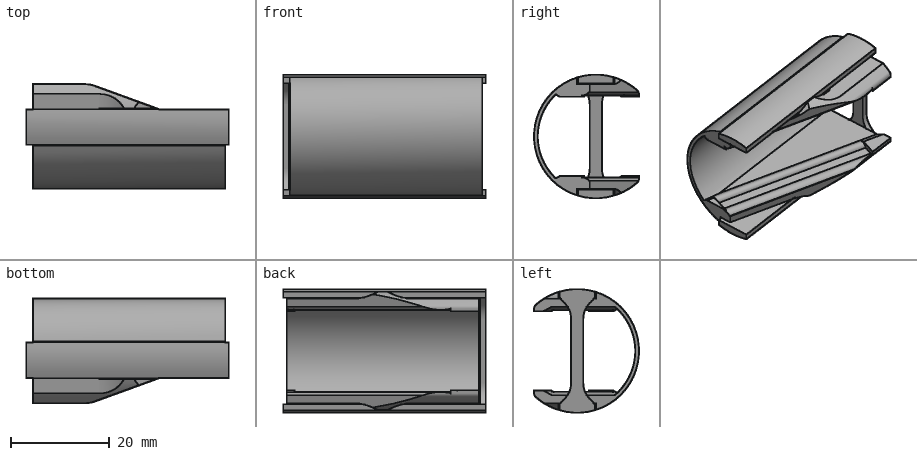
import cadquery as cq
import math

LENGTH = 41.05
OUTER_DIAMETER = 25.1
OUTER_RADIUS = OUTER_DIAMETER / 2

RAIL_HALF_WIDTH = 3.6
RAIL_BOTTOM = 10.75
WEB_HALF_WIDTH = 1.27
WEB_ROUND = 4.4
PLATE_THICKNESS = 1.25

BARREL_START = 1.4
BARREL_END = 40.3
BORE_RADIUS = 11.75
BORE_FLAT = 9.0
CHANNEL_HALF_WIDTH = 3.8
CHANNEL_FLOOR = 10.6
RAMP_RADIUS = 10.0
RAMP_START = 14.78

TIP_Y = 8.75
TIP_ROUND = 1.0
SLANT_ANGLE = 20.0
SLANT_START = 12.9
SLANT_ROUND = 6.15
LIP_HEIGHT = 8.0

BEVEL_ANGLE = 30.0
BEVEL_START = -7.4
INNER_RIDGE_CREST = -5.8
INNER_RIDGE_ROUND = 1.0
TIP_RIDGE_START = -2.75
TIP_RIDGE_CREST = -1.27
TIP_RIDGE_ROUND = 1.3
POCKET_START = -5.4
POCKET_END = 29.55

REACH = 3 * LENGTH

BARREL_LENGTH = BARREL_END - BARREL_START
BARREL_MIDDLE = (BARREL_START + BARREL_END) / 2
BEVEL_SLOPE = math.tan(math.radians(BEVEL_ANGLE))


def x_cylinder(radius, start, length):
    return cq.Workplane("YZ", origin=(start, 0, 0)).circle(radius).extrude(length)


def box_between(low, high):
    sizes = [b - a for a, b in zip(low, high)]
    return cq.Workplane("XY").box(*sizes, centered=False).translate(low)


def with_mirror(shape):
    """The shape and its mirror image below Z = 0."""
    return shape.union(shape.mirror("XY"))


def rail():
    blank = box_between((0, -RAIL_HALF_WIDTH, RAIL_BOTTOM), (LENGTH, RAIL_HALF_WIDTH, OUTER_RADIUS))
    return blank.intersect(x_cylinder(OUTER_RADIUS, 0, LENGTH))


def end_plate():
    """Web that flares at 45 degrees to the width of the rails."""
    diagonal = math.sqrt(0.5)
    flare_foot_y = WEB_HALF_WIDTH + WEB_ROUND * (1 - diagonal)
    flare_foot_z = RAIL_BOTTOM - (RAIL_HALF_WIDTH - flare_foot_y)
    round_start_z = flare_foot_z - WEB_ROUND * diagonal
    half_turn = math.radians(45 / 2)
    round_middle = (
        WEB_HALF_WIDTH + WEB_ROUND * (1 - math.cos(half_turn)),
        round_start_z + WEB_ROUND * math.sin(half_turn),
    )
    quarter = (
        cq.Workplane("YZ")
        .lineTo(WEB_HALF_WIDTH, 0)
        .lineTo(WEB_HALF_WIDTH, round_start_z)
        .threePointArc(round_middle, (flare_foot_y, flare_foot_z))
        .lineTo(RAIL_HALF_WIDTH, RAIL_BOTTOM)
        .lineTo(0, RAIL_BOTTOM)
        .close()
        .extrude(PLATE_THICKNESS)
    )
    return with_mirror(quarter.union(quarter.mirror("XZ")))


def make_key():
    return end_plate().union(with_mirror(rail())).clean()


def barrel_blank():
    """Round bar with a flat, round-edged lip on +Y and the slanted edge cut off in plan."""
    bar = x_cylinder(OUTER_RADIUS, BARREL_START, BARREL_LENGTH)
    bar = bar.cut(box_between((0, TIP_Y, -REACH), (LENGTH, REACH, REACH)))
    bar = bar.edges("|X and >Y").fillet(TIP_ROUND)
    slant_drop = (BARREL_END - SLANT_START) * math.tan(math.radians(SLANT_ANGLE))
    plan = (
        cq.Workplane("XY")
        .moveTo(BARREL_START, -OUTER_RADIUS)
        .lineTo(BARREL_START, TIP_Y)
        .lineTo(SLANT_START, TIP_Y)
        .lineTo(BARREL_END, TIP_Y - slant_drop)
        .lineTo(BARREL_END, -OUTER_RADIUS)
        .close()
        .extrude(OUTER_RADIUS, both=True)
    )
    corner = cq.selectors.NearestToPointSelector((SLANT_START, TIP_Y, 0))
    return bar.intersect(plan.edges("|Z").edges(corner).fillet(SLANT_ROUND))


def slanted_plane(distance):
    """Plane square to the slanted edge: local X points out of the mouth, local Y up."""
    angle = math.radians(SLANT_ANGLE)
    along = cq.Vector(math.cos(angle), -math.sin(angle), 0)
    outwards = cq.Vector(math.sin(angle), math.cos(angle), 0)
    origin = cq.Vector(SLANT_START, TIP_Y, 0) + along * distance
    return cq.Plane(origin=origin, xDir=outwards, normal=along)


def lip_opening():
    """Space between the plain lips: flat bore faces, a bevel, then the lip face."""
    bevel_end = BEVEL_START + (BORE_FLAT - LIP_HEIGHT) / BEVEL_SLOPE
    half = (
        cq.Workplane(slanted_plane(-LENGTH))
        .moveTo(-LENGTH, 0)
        .lineTo(-LENGTH, BORE_FLAT)
        .lineTo(BEVEL_START, BORE_FLAT)
        .lineTo(bevel_end, LIP_HEIGHT)
        .lineTo(LENGTH, LIP_HEIGHT)
        .lineTo(LENGTH, 0)
        .close()
        .extrude(REACH)
    )
    return with_mirror(half)


def ridge_round(start, crest, radius):
    """Start, crest and end of the round on a ridge, from its bevel back down to the bore flat."""
    angle = math.radians(BEVEL_ANGLE)
    tangent_x = crest - radius * math.sin(angle)
    tangent_z = BORE_FLAT - (tangent_x - start) * BEVEL_SLOPE
    centre_z = tangent_z + radius * math.cos(angle)
    end_x = crest + math.sqrt(radius**2 - (centre_z - BORE_FLAT) ** 2)
    return (tangent_x, tangent_z), (crest, centre_z - radius), (end_x, BORE_FLAT)


def ridge_pocket():
    """Space between the ridged stretches of the lips: an inner ridge, a groove, a tip ridge."""
    inner_start, inner_crest, inner_end = ridge_round(
        BEVEL_START, INNER_RIDGE_CREST, INNER_RIDGE_ROUND
    )
    tip_start, tip_crest, tip_end = ridge_round(TIP_RIDGE_START, TIP_RIDGE_CREST, TIP_RIDGE_ROUND)
    half = (
        cq.Workplane(slanted_plane(POCKET_START))
        .moveTo(BEVEL_START, 0)
        .lineTo(BEVEL_START, BORE_FLAT)
        .lineTo(*inner_start)
        .threePointArc(inner_crest, inner_end)
        .lineTo(TIP_RIDGE_START, BORE_FLAT)
        .lineTo(*tip_start)
        .threePointArc(tip_crest, tip_end)
        .lineTo(LENGTH, BORE_FLAT)
        .lineTo(LENGTH, 0)
        .close()
        .extrude(POCKET_END - POCKET_START)
    )
    return with_mirror(half)


def bore():
    """Space inside the barrel, bounded by the round wall on -Y and open on +Y."""
    limits = x_cylinder(BORE_RADIUS, 0, LENGTH)
    limits = limits.union(box_between((0, 0, -OUTER_RADIUS), (LENGTH, OUTER_RADIUS, OUTER_RADIUS)))
    return limits.intersect(lip_opening().union(ridge_pocket()))


def rail_channel():
    return box_between(
        (0, -CHANNEL_HALF_WIDTH, CHANNEL_FLOOR), (LENGTH, CHANNEL_HALF_WIDTH, OUTER_RADIUS)
    )


def end_recess():
    """Floor level with the channel on the +Y side, ending in a concave ramp."""
    ramp_rise = OUTER_RADIUS - CHANNEL_FLOOR
    ramp_run = math.sqrt(RAMP_RADIUS**2 - (RAMP_RADIUS - ramp_rise) ** 2)
    half_angle = math.asin(ramp_run / RAMP_RADIUS) / 2
    ramp_middle = (
        RAMP_START + RAMP_RADIUS * math.sin(half_angle),
        CHANNEL_FLOOR + RAMP_RADIUS * (1 - math.cos(half_angle)),
    )
    return (
        cq.Workplane("XZ")
        .moveTo(0, CHANNEL_FLOOR)
        .lineTo(RAMP_START, CHANNEL_FLOOR)
        .threePointArc(ramp_middle, (RAMP_START + ramp_run, OUTER_RADIUS))
        .lineTo(0, OUTER_RADIUS)
        .close()
        .extrude(-OUTER_RADIUS)
    )


def make_barrel():
    first_recess = end_recess()
    second_recess = first_recess.mirror("YZ", (BARREL_MIDDLE, 0, 0))
    barrel = barrel_blank().cut(bore())
    for recess in (rail_channel(), first_recess, second_recess):
        barrel = barrel.cut(with_mirror(recess))
    return barrel


key = make_key()
barrel = make_barrel()
result = cq.Compound.makeCompound([key.solids().val(), barrel.solids().val()])